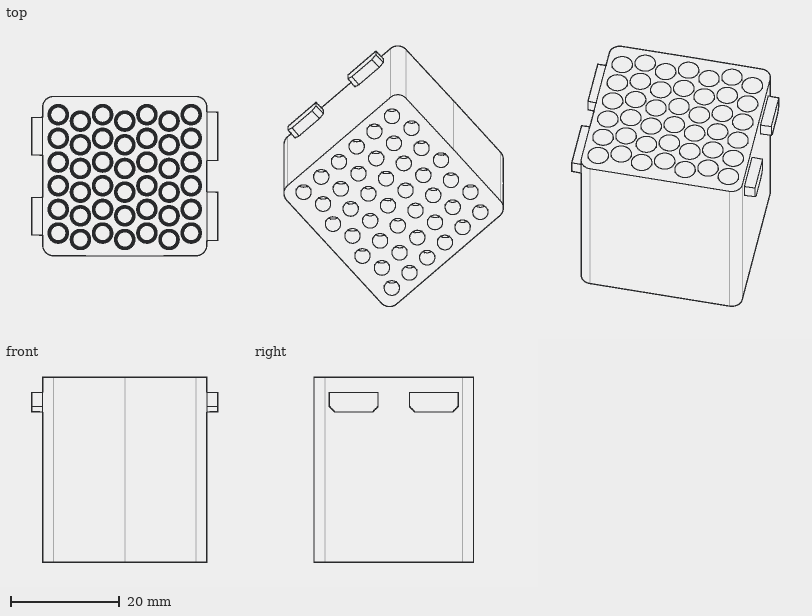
import cadquery as cq
import math

body_width = 30.2
body_depth = 29.3
body_height = 34.0
ridge_rise = 0.05
corner_radius = 2.0

bore_diameters = (2.8, 3.2, 3.46, 3.76)
bore_height = body_height / len(bore_diameters)
shoulder_angle = 28.0

column_count = 7
row_count = 6
column_pitch = 4.07
row_pitch = 4.35
even_column_center_y = 0.415
column_stagger = 1.18

lug_length = 2.0
lug_height = 3.6
lug_chamfer = 1.0
lug_top_gap = 2.8
lug_tip_inset = 0.05
left_lug_width = 7.0
right_lug_width = 9.0
lug_spacing = 14.7
lug_middle_y = -ridge_rise / 2


def make_body():
    """Upright block on Z = 0 with rounded corners and a low ridge along its front face."""
    half_width = body_width / 2
    half_depth = body_depth / 2
    block = (
        cq.Workplane("XY")
        .rect(body_width, body_depth)
        .extrude(body_height)
        .edges("|Z")
        .fillet(corner_radius)
    )
    ridge_half_width = half_width - corner_radius
    ridge = (
        cq.Workplane("XY")
        .moveTo(-ridge_half_width, -half_depth)
        .lineTo(0, -half_depth - ridge_rise)
        .lineTo(ridge_half_width, -half_depth)
        .lineTo(0, 0)
        .close()
        .extrude(body_height)
    )
    return block.union(ridge)


def make_hole():
    """Cutter for one hole: bores that widen upwards, with a conical shoulder between each pair."""
    profile = cq.Workplane("XZ").lineTo(bore_diameters[0] / 2, 0)
    for level in range(1, len(bore_diameters)):
        lower_radius = bore_diameters[level - 1] / 2
        upper_radius = bore_diameters[level] / 2
        shoulder_z = level * bore_height
        shoulder_height = (upper_radius - lower_radius) * math.tan(math.radians(shoulder_angle))
        profile = profile.lineTo(lower_radius, shoulder_z)
        profile = profile.lineTo(upper_radius, shoulder_z + shoulder_height)
    profile = profile.lineTo(bore_diameters[-1] / 2, body_height).lineTo(0, body_height).close()
    return profile.revolve(360, (0, 0, 0), (0, 1, 0)).val()


def hole_centers():
    """Hole positions, column by column."""
    centers = []
    for column in range(column_count):
        x = (column - (column_count - 1) / 2) * column_pitch
        center_y = even_column_center_y - (column % 2) * column_stagger
        for row in range(row_count):
            y = center_y + (row - (row_count - 1) / 2) * row_pitch
            centers.append((x, y))
    return centers


def lug_outline(width, center_y, inset):
    """Lug cross-section in (Y, Z): flat top, chamfered lower corners, sides and bottom drawn in by inset."""
    left = center_y - width / 2 + inset
    right = center_y + width / 2 - inset
    top = body_height - lug_top_gap
    bottom = top - lug_height + inset
    return [
        (left, top),
        (left, bottom + lug_chamfer),
        (left + lug_chamfer, bottom),
        (right - lug_chamfer, bottom),
        (right, bottom + lug_chamfer),
        (right, top),
    ]


def make_lug(side, width, center_y):
    """Lug on the -X wall (side = -1) or the +X wall (side = 1), slightly smaller at its tip."""
    return (
        cq.Workplane("YZ", origin=(side * body_width / 2, 0, 0))
        .polyline(lug_outline(width, center_y, 0))
        .close()
        .workplane(offset=side * lug_length)
        .polyline(lug_outline(width, center_y, lug_tip_inset))
        .close()
        .loft(ruled=True)
    )


result = make_body()

hole = make_hole()
cutters = [hole.translate(cq.Vector(x, y, 0)) for x, y in hole_centers()]
result = result.cut(cq.Workplane(cq.Compound.makeCompound(cutters)))

for side, width in ((-1, left_lug_width), (1, right_lug_width)):
    for center_y in (lug_middle_y - lug_spacing / 2, lug_middle_y + lug_spacing / 2):
        result = result.union(make_lug(side, width, center_y))